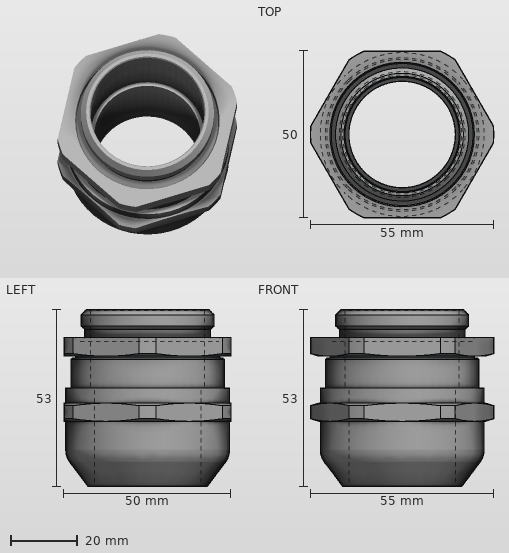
import cadquery as cq
import math

total_height = 53.0
dome_edge_z = 7.3
shoulder_z = 10.95
cap_nut_bottom = 19.5
nut_thickness = 5.45
flange_top = 29.5
body_top = 38.0
lock_nut_bottom = 39.05
lock_nut_top = 44.65
neck_top = 47.1
collar_bottom = 48.1
collar_chamfer = 1.6

dome_end_radius = 17.9
shoulder_arc_radius = 6.05
cap_radius = 24.6
body_radius = 23.05
body_chamfer = 0.5
groove_radius = 21.65
neck_radius = 18.85
collar_radius = 19.95

across_flats = 50.0
corner_radius = 27.5
corner_chamfer_height = 0.75

recess_radius = 21.65
recess_floor_radius = 21.3
recess_depth = 1.15

bore_radius = 17.1
rim_chamfer = 0.35
ledge_radius = 15.95
ledge_z = 29.5


def revolve_profile(profile):
    """Close an X-Z half profile and turn it about the Z axis."""
    return profile.close().revolve(360, (0, 0, 0), (0, 1, 0))


def make_body():
    arc_end_angle = math.asin((shoulder_z - dome_edge_z) / shoulder_arc_radius)
    arc_center_radius = cap_radius - shoulder_arc_radius

    def arc_point(angle):
        return (
            arc_center_radius + shoulder_arc_radius * math.cos(angle),
            shoulder_z - shoulder_arc_radius * math.sin(angle),
        )

    profile = (
        cq.Workplane("XZ")
        .lineTo(dome_end_radius, 0)
        .lineTo(*arc_point(arc_end_angle))
        .threePointArc(arc_point(arc_end_angle / 2), arc_point(0))
        .lineTo(cap_radius, flange_top)
        .lineTo(body_radius, flange_top)
        .lineTo(body_radius, body_top)
        .lineTo(body_radius - body_chamfer, body_top + body_chamfer)
        .lineTo(groove_radius, body_top + body_chamfer)
        .lineTo(groove_radius, lock_nut_bottom)
        .lineTo(neck_radius, lock_nut_bottom)
        .lineTo(neck_radius, neck_top)
        .lineTo(collar_radius, collar_bottom)
        .lineTo(collar_radius, total_height - collar_chamfer)
        .lineTo(collar_radius - collar_chamfer, total_height)
        .lineTo(0, total_height)
    )
    return revolve_profile(profile)


def make_nut(bottom, top, chamfer_top):
    """Hexagon with corners pointing along X, trimmed by a turned envelope."""
    flat_radius = across_flats / 2
    hexagon = (
        cq.Workplane("XY")
        .workplane(offset=bottom)
        .polygon(6, across_flats, circumscribed=True)
        .extrude(top - bottom)
        .rotate((0, 0, 0), (0, 0, 1), 30)
    )
    envelope = (
        cq.Workplane("XZ")
        .moveTo(0, bottom)
        .lineTo(flat_radius, bottom)
        .lineTo(corner_radius, bottom + corner_chamfer_height)
    )
    if chamfer_top:
        envelope = envelope.lineTo(corner_radius, top - corner_chamfer_height).lineTo(flat_radius, top)
    else:
        envelope = envelope.lineTo(corner_radius, top)
    envelope = envelope.lineTo(0, top)
    return hexagon.intersect(revolve_profile(envelope))


def make_lock_nut():
    recess = (
        cq.Workplane("XZ")
        .moveTo(0, lock_nut_top - recess_depth)
        .lineTo(recess_floor_radius, lock_nut_top - recess_depth)
        .lineTo(recess_radius, lock_nut_top)
        .lineTo(0, lock_nut_top)
    )
    nut = make_nut(lock_nut_bottom, lock_nut_top, chamfer_top=False)
    return nut.cut(revolve_profile(recess))


def make_bore():
    profile = (
        cq.Workplane("XZ")
        .lineTo(ledge_radius, 0)
        .lineTo(ledge_radius, ledge_z)
        .lineTo(bore_radius, ledge_z)
        .lineTo(bore_radius, total_height - rim_chamfer)
        .lineTo(bore_radius + rim_chamfer, total_height)
        .lineTo(0, total_height)
    )
    return revolve_profile(profile)


cap_nut = make_nut(cap_nut_bottom, cap_nut_bottom + nut_thickness, chamfer_top=True)
result = make_body().union(cap_nut).union(make_lock_nut()).cut(make_bore())